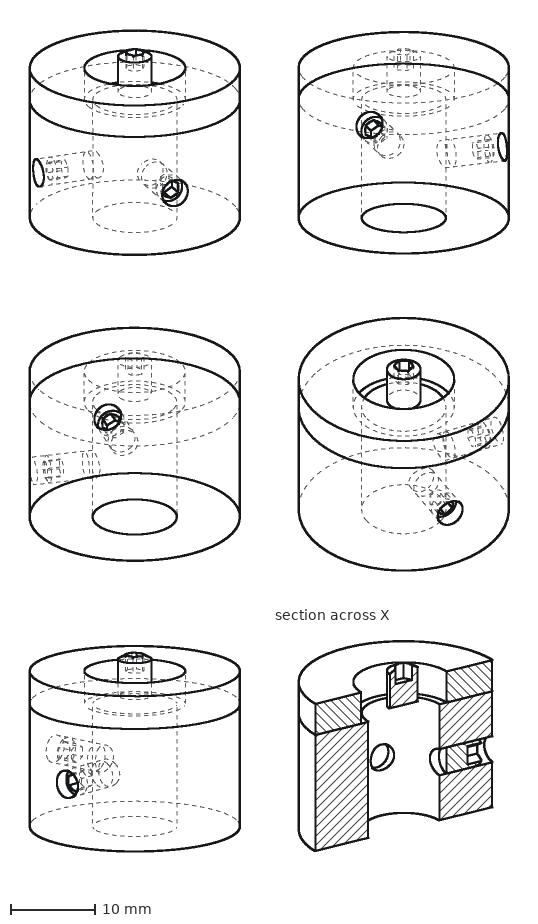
import cadquery as cq
import math

outer_diameter = 25.0
sleeve_height = 15.0
sleeve_bore = 10.0
ring_height = 4.0
ring_bore = 12.0

screw_length = 5.0
hex_across_flats = 2.0
hex_across_corners = hex_across_flats / math.cos(math.radians(30))
hex_depth = 2.0
head_slope = 30.0
head_flat_diameter = 2.1

center_screw_diameter = 4.0
center_screw_projection = 2.0
center_screw_top = sleeve_height + ring_height + center_screw_projection

radial_hole_diameter = 3.3
radial_hole_z = 7.5
radial_screw_recess = 1.5
radial_screw_radius = outer_diameter / 2 - radial_screw_recess
radial_angles = (-90.0, 0.0)


def place_radially(body, angle):
    """Turn a body from the Z axis to point outward at the given angle, at hole height."""
    return (
        body.rotate((0, 0, 0), (0, 1, 0), 90)
        .rotate((0, 0, 0), (0, 0, 1), angle)
        .translate((0, 0, radial_hole_z))
    )


def make_sleeve():
    sleeve = cq.Workplane("XY").circle(outer_diameter / 2).circle(sleeve_bore / 2).extrude(sleeve_height)
    hole = cq.Workplane("XY").circle(radial_hole_diameter / 2).extrude(outer_diameter)
    for angle in radial_angles:
        sleeve = sleeve.cut(place_radially(hole, angle))
    return sleeve


def make_ring():
    return (
        cq.Workplane("XY", origin=(0, 0, sleeve_height))
        .circle(outer_diameter / 2)
        .circle(ring_bore / 2)
        .extrude(ring_height)
    )


def make_screw(diameter, length, top):
    """Set screw on the Z axis, with its conical socket end reaching up to top."""
    radius = diameter / 2
    flat_radius = head_flat_diameter / 2
    cone_height = (radius - flat_radius) * math.tan(math.radians(head_slope))
    bottom = top - length
    shank = (
        cq.Workplane("XZ")
        .moveTo(0, bottom)
        .lineTo(radius, bottom)
        .lineTo(radius, top - cone_height)
        .lineTo(flat_radius, top)
        .lineTo(0, top)
        .close()
        .revolve(360, (0, 0, 0), (0, 1, 0))
    )
    socket = (
        cq.Workplane("XY", origin=(0, 0, top - hex_depth))
        .polygon(6, hex_across_corners)
        .extrude(hex_depth)
        .rotate((0, 0, 0), (0, 0, 1), 30)
    )
    return shank.cut(socket)


def make_radial_screws():
    screw = make_screw(radial_hole_diameter, screw_length, radial_screw_radius)
    screw = screw.rotate((0, 0, 0), (0, 0, 1), 90)
    return [place_radially(screw, angle).val() for angle in radial_angles]


sleeve = make_sleeve()
ring = make_ring()
center_screw = make_screw(center_screw_diameter, screw_length, center_screw_top)
radial_screws = make_radial_screws()

result = cq.Compound.makeCompound([sleeve.val(), ring.val(), center_screw.val(), *radial_screws])